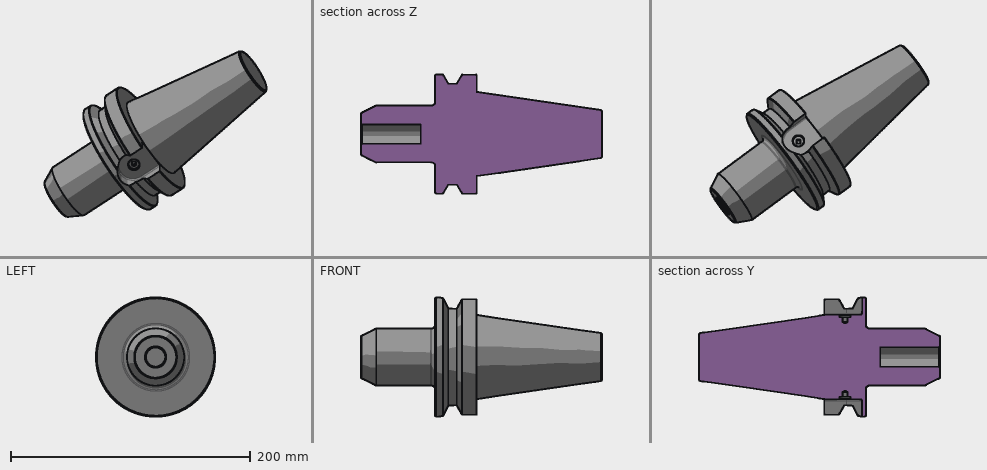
import cadquery as cq
import math

nose_x = -100.0
flange_front = -38.0
flange_back = -3.0
small_end_x = 101.8

gauge_radius = 69.85 / 2
taper_slope = 7.0 / 24.0 / 2
small_end_radius = gauge_radius - taper_slope * small_end_x
flange_back_taper_radius = gauge_radius - taper_slope * flange_back
small_end_chamfer = 1.0

nose_radius = 48.0 / 2
nose_tip_radius = 18.0
nose_tip_chamfer = 0.8
nose_cone_length = 12.8

undercut_radius = 47.8 / 2
undercut_depth = nose_radius - undercut_radius
undercut_start = -42.1
undercut_outer_radius = 28.4
root_fillet = 3.3

bore_diameter = 16.0
bore_depth = 50.0
bore_chamfer = 1.0

flange_radius = 100.0 / 2
flange_front_edge = 1.0
flange_back_edge = 0.5
groove_radius = 85.0 / 2
groove_center = -23.3
groove_floor_width = 7.0
groove_flank_angle = 30.0
groove_edge = 0.4

slot_width = 25.7
slot_floor = 35.4
slot_center = -21.6
slot_floor_fillet = 1.0

screw_x = -20.5
screw_mouth_diameter = 10.0
screw_recess = 2.0
screw_mouth_chamfer = 0.5
socket_diameter = 4.0
socket_depth = 4.0
drill_point_angle = 118.0


def make_body():
    """Revolve the nose, flange and taper about X."""
    flank = (flange_radius - groove_radius) * math.tan(math.radians(groove_flank_angle))
    groove_front = groove_center - groove_floor_width / 2
    groove_back = groove_center + groove_floor_width / 2
    edge_flank = groove_edge * math.tan(math.radians(groove_flank_angle))
    undercut_face = flange_front + undercut_depth
    fillet_mid = root_fillet * (1 - math.sqrt(0.5))
    profile = (
        cq.Workplane("XY")
        .moveTo(nose_x, 0)
        .lineTo(nose_x, nose_tip_radius - nose_tip_chamfer)
        .lineTo(nose_x + nose_tip_chamfer, nose_tip_radius)
        .lineTo(nose_x + nose_cone_length, nose_radius)
        .lineTo(undercut_start, nose_radius)
        .lineTo(undercut_face - root_fillet, undercut_radius)
        .threePointArc(
            (undercut_face - fillet_mid, undercut_radius + fillet_mid),
            (undercut_face, undercut_radius + root_fillet),
        )
        .lineTo(flange_front, undercut_outer_radius)
        .lineTo(flange_front, flange_radius - flange_front_edge)
        .lineTo(flange_front + flange_front_edge, flange_radius)
        .lineTo(groove_front - flank - groove_edge, flange_radius)
        .lineTo(groove_front - flank + edge_flank, flange_radius - groove_edge)
        .lineTo(groove_front, groove_radius)
        .lineTo(groove_back, groove_radius)
        .lineTo(groove_back + flank - edge_flank, flange_radius - groove_edge)
        .lineTo(groove_back + flank + groove_edge, flange_radius)
        .lineTo(flange_back - flange_back_edge, flange_radius)
        .lineTo(flange_back, flange_radius - flange_back_edge)
        .lineTo(flange_back, flange_back_taper_radius)
        .lineTo(small_end_x - small_end_chamfer, small_end_radius + taper_slope * small_end_chamfer)
        .lineTo(small_end_x, small_end_radius - small_end_chamfer)
        .lineTo(small_end_x, 0)
        .close()
    )
    return profile.revolve(360, (0, 0, 0), (1, 0, 0))


def make_bore():
    """Blind tool bore in the nose, with a chamfered mouth."""
    radius = bore_diameter / 2
    return (
        cq.Workplane("XY")
        .moveTo(nose_x, 0)
        .lineTo(nose_x, radius + bore_chamfer)
        .lineTo(nose_x + bore_chamfer, radius)
        .lineTo(nose_x + bore_depth, radius)
        .lineTo(nose_x + bore_depth, 0)
        .close()
        .revolve(360, (0, 0, 0), (1, 0, 0))
    )


def make_slot():
    """Round-ended drive slot on +Z, open at the back face of the flange."""
    half = slot_width / 2
    return (
        cq.Workplane("XY", origin=(0, 0, slot_floor))
        .moveTo(flange_back, -half)
        .lineTo(slot_center, -half)
        .threePointArc((slot_center - half, 0), (slot_center, half))
        .lineTo(flange_back, half)
        .close()
        .extrude(flange_radius - slot_floor)
        .faces("<Z")
        .edges("not >X")
        .fillet(slot_floor_fillet)
    )


def make_screw_seat():
    """Recessed round seat with a drilled, pointed centre hole."""
    socket_radius = socket_diameter / 2
    mouth_radius = screw_mouth_diameter / 2
    seat_radius = mouth_radius - screw_mouth_chamfer
    seat_floor = slot_floor - screw_recess
    socket_bottom = seat_floor - socket_depth
    point_depth = socket_radius / math.tan(math.radians(drill_point_angle / 2))
    return (
        cq.Workplane("XZ")
        .moveTo(screw_x, slot_floor)
        .lineTo(screw_x + mouth_radius, slot_floor)
        .lineTo(screw_x + seat_radius, slot_floor - screw_mouth_chamfer)
        .lineTo(screw_x + seat_radius, seat_floor)
        .lineTo(screw_x + socket_radius, seat_floor)
        .lineTo(screw_x + socket_radius, socket_bottom)
        .lineTo(screw_x, socket_bottom - point_depth)
        .close()
        .revolve(360, (screw_x, 0, 0), (screw_x, 1, 0))
    )


result = make_body().cut(make_bore())
drive_slot = make_slot().union(make_screw_seat())
for turn in (0, 180):
    result = result.cut(drive_slot.rotate((0, 0, 0), (1, 0, 0), turn))